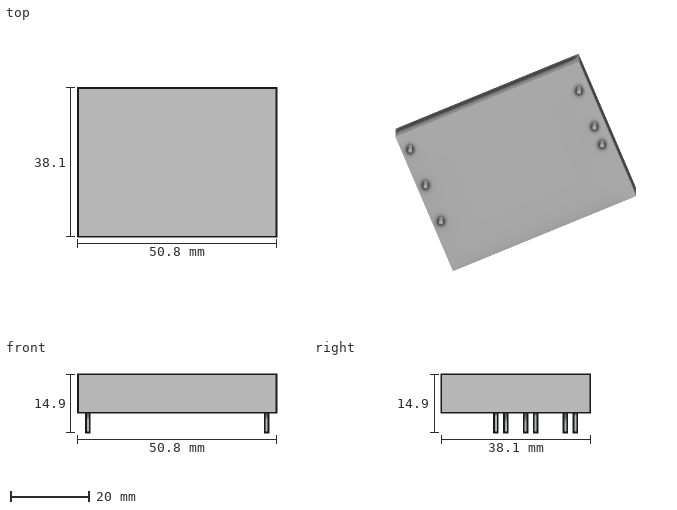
import cadquery as cq

length = 50.8
width = 38.1
total_height = 14.95
pin_length = 5.1
housing_height = total_height - pin_length

pin_diameter = 1.0
grid_pitch = 2.55
end_inset = grid_pitch
pin_x = length / 2 - end_inset
left_pin_steps = (-1, 1, 5)
right_pin_steps = (-2, 2, 6)


def make_housing():
    """Plain block with its underside at Z = 0."""
    return cq.Workplane("XY").box(length, width, housing_height, centered=(True, True, False))


def make_pin(x, y):
    """Round pin hanging from the underside of the housing."""
    return cq.Workplane("XY").center(x, y).circle(pin_diameter / 2).extrude(-pin_length)


housing = make_housing()

pins = []
for row_x, steps in ((-pin_x, left_pin_steps), (pin_x, right_pin_steps)):
    for step in steps:
        pins.append(make_pin(row_x, step * grid_pitch).val())

result = cq.Compound.makeCompound([housing.val(), *pins])